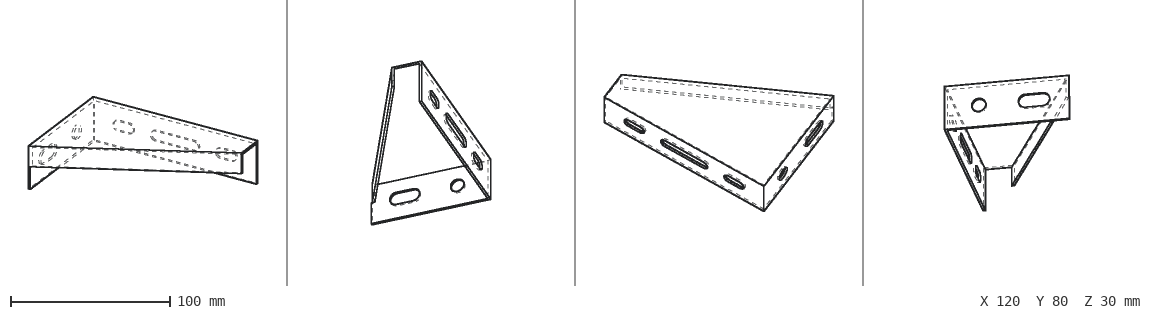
import cadquery as cq
import math

length = 120.0
width = 80.0
height = 30.0
sheet = 1.5

tip_width = 20.0
sloped_wall_height = 14.5

hole_diameter = 9.0
hole_y = 58.0
mount_slot_length = 20.0
mount_slot_y = 22.5
back_slot_width = 7.0
short_slot_length = 15.0
long_slot_length = 35.0
short_slot_inset = 22.5

mid_height = height / 2
slope_end_y = width - tip_width
sloped_wall_bottom = height - sloped_wall_height


def upright_block(outline, bottom_z, top_z):
    """Block with the given plan outline between two heights."""
    return cq.Workplane("XY").workplane(offset=bottom_z).polyline(outline).close().extrude(top_z - bottom_z)


def tapered_channel():
    """Top sheet with its walls hanging down, open at the bottom and at the narrow end."""
    outside = [(0, 0), (length, slope_end_y), (length, width), (0, width)]
    slope = slope_end_y / length
    wall_y = sheet * math.hypot(1, slope)
    inside = [
        (sheet, slope * sheet + wall_y),
        (length, slope_end_y + wall_y),
        (length, width - sheet),
        (sheet, width - sheet),
    ]
    block = upright_block(outside, sloped_wall_bottom, height)
    return block.cut(upright_block(inside, sloped_wall_bottom, height - sheet))


def lower_plate(size_x, size_y):
    """Upright plate from the base to the bottom of the sloped wall, one corner at the origin."""
    return cq.Workplane("XY").box(size_x, size_y, sloped_wall_bottom, centered=False)


def mount_cutter():
    """Round hole and horizontal slot through the mounting plate, along X."""
    plane = cq.Workplane("YZ")
    hole = plane.center(hole_y, mid_height).circle(hole_diameter / 2).extrude(sheet)
    slot = plane.center(mount_slot_y, mid_height).slot2D(mount_slot_length, hole_diameter).extrude(sheet)
    return hole.union(slot)


def back_slot(center_x, slot_length):
    """Horizontal slot through the back wall, along Y."""
    plane = cq.Workplane("XZ", origin=(center_x, width, mid_height))
    return plane.slot2D(slot_length, back_slot_width).extrude(sheet)


result = tapered_channel()
result = result.union(lower_plate(sheet, width))
result = result.union(lower_plate(length, sheet).translate((0, width - sheet, 0)))

result = result.cut(mount_cutter())
back_slots = [
    (short_slot_inset, short_slot_length),
    (length / 2, long_slot_length),
    (length - short_slot_inset, short_slot_length),
]
for center_x, slot_length in back_slots:
    result = result.cut(back_slot(center_x, slot_length))